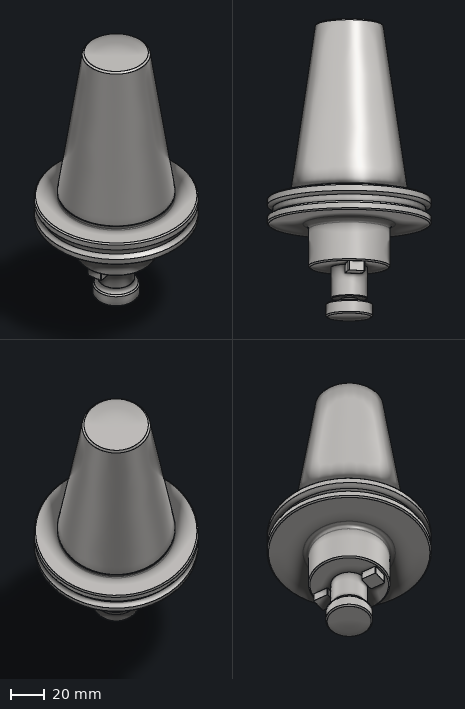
import cadquery as cq


overall_length = 176.8

taper_length = 101.8
gauge_radius = 35.0
taper_ratio = 7 / 24
taper_small_radius = gauge_radius - taper_length * taper_ratio / 2
taper_end_chamfer = 1.0
gauge_land = 0.5
relief_radius = 34.5
relief_fillet = 0.5

flange_radius = 48.8
flange_top = -3.2
flange_bottom = -19.0
flange_chamfer = 0.9
groove_center = -11.1
groove_mouth = 7.0
groove_floor_width = 3.9
groove_floor_radius = 45.5

boss_radius = 24.2
boss_end = -45.0
boss_fillet = 3.2
boss_chamfer = 0.9
arbor_radius = 11.0
arbor_end = -64.0
arbor_chamfer = 0.5
screw_radius = 5.0
head_radius = 14.0
head_top = -66.6
head_bottom = taper_length - overall_length
head_chamfer = 0.9

key_width = 10.0
key_inner = 12.0
key_outer = 22.1
key_height = 5.7
key_chamfer = 0.5
key_root = 1.8


def turned(start, *points):
    """Revolve a closed (radius, height) outline about the Z axis."""
    outline = cq.Workplane("XZ").polyline([start, *points]).close()
    return outline.revolve(360, (0, 0, 0), (0, 1, 0))


def disc(radius, bottom, top):
    return cq.Workplane("XY").workplane(offset=bottom).circle(radius).extrude(top - bottom)


def fillet_root(body, height, wall_radius, fillet):
    """Round the inside corner where a round wall meets the flange face at this height."""
    point_on_face = (0, (wall_radius + flange_radius) / 2, height)
    face = body.faces(cq.selectors.NearestToPointSelector(point_on_face))
    smallest_circle = cq.selectors.RadiusNthSelector(0)
    return face.edges(smallest_circle).fillet(fillet)


def make_taper():
    cone = turned(
        (0, -gauge_land),
        (gauge_radius, -gauge_land),
        (gauge_radius, 0),
        (taper_small_radius, taper_length),
        (0, taper_length),
    )
    cone = cone.faces(">Z").edges().chamfer(taper_end_chamfer)
    return cone.union(disc(relief_radius, flange_top, -gauge_land))


def make_flange_and_boss():
    flange = disc(flange_radius, flange_bottom, flange_top).edges().chamfer(flange_chamfer)
    half_mouth = groove_mouth / 2
    half_floor = groove_floor_width / 2
    groove = turned(
        (flange_radius, groove_center - half_mouth),
        (groove_floor_radius, groove_center - half_floor),
        (groove_floor_radius, groove_center + half_floor),
        (flange_radius, groove_center + half_mouth),
    )
    boss = disc(boss_radius, boss_end, flange_bottom)
    boss = boss.faces("<Z").edges().chamfer(boss_chamfer)
    return flange.cut(groove).union(boss)


def make_arbor():
    arbor = disc(arbor_radius, arbor_end, boss_end).faces("<Z").edges().chamfer(arbor_chamfer)
    screw = disc(screw_radius, head_top, arbor_end)
    head = disc(head_radius, head_bottom, head_top).edges().chamfer(head_chamfer)
    return arbor.union(screw).union(head)


def make_key(side):
    key = cq.Workplane("XY").box(key_width, key_outer - key_inner, key_height + key_root)
    key = key.edges("|Z").chamfer(key_chamfer)
    center_y = side * (key_inner + key_outer) / 2
    center_z = boss_end + (key_root - key_height) / 2
    return key.translate((0, center_y, center_z))


body = make_taper().union(make_flange_and_boss())
body = fillet_root(body, flange_top, relief_radius, relief_fillet)
body = fillet_root(body, flange_bottom, boss_radius, boss_fillet)

result = body.union(make_arbor())
for side in (-1, 1):
    result = result.union(make_key(side))